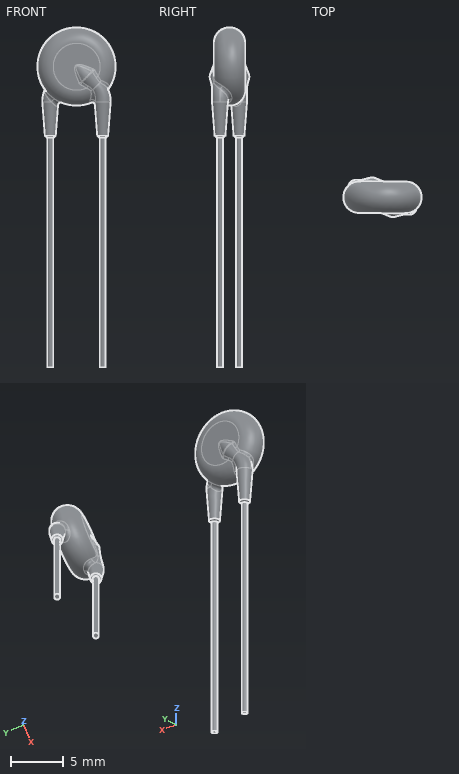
import cadquery as cq
import math

disc_diameter = 7.5
disc_thickness = 3.02

total_height = 32.5
lead_diameter = 0.6
lead_x = 2.5
lead_y = -0.9
lead_bottom_z = disc_diameter / 2 - total_height

sleeve_bottom_z = -6.8
sleeve_end_chamfer = 0.2
bend_start_z = -3.35
sleeve_end_radius = 0.52
bend_section_radius = 0.78

bend_radius = 2.1
bend_angle = 45.0
flare_length = 1.27
flare_radius = 1.0
tip_length = 1.8
tip_radius = 0.52
shoulder_fillet = 0.13

junction_fillet = 0.4
touch_tolerance = 0.0003


def make_disc():
    rim_radius = disc_thickness / 2
    flat_radius = disc_diameter / 2 - rim_radius
    profile = (
        cq.Workplane("XY")
        .moveTo(0, -rim_radius)
        .lineTo(flat_radius, -rim_radius)
        .threePointArc((disc_diameter / 2, 0), (flat_radius, rim_radius))
        .lineTo(0, rim_radius)
        .close()
    )
    return profile.revolve(360, (0, 0, 0), (0, 1, 0))


def make_wire():
    return (
        cq.Workplane("XY", origin=(lead_x, lead_y, lead_bottom_z))
        .circle(lead_diameter / 2)
        .extrude(bend_start_z - lead_bottom_z)
    )


def make_straight_sleeve():
    height = bend_start_z - sleeve_bottom_z
    cone = cq.Solid.makeCone(
        sleeve_end_radius, bend_section_radius, height, cq.Vector(lead_x, lead_y, sleeve_bottom_z)
    )
    return cq.Workplane(cone).faces("<Z").edges().chamfer(sleeve_end_chamfer)


def make_bend():
    return (
        cq.Workplane("XY", origin=(lead_x, lead_y, bend_start_z))
        .circle(bend_section_radius)
        .revolve(bend_angle, (-bend_radius, 0, 0), (-bend_radius, -1, 0))
    )


def make_flared_tip():
    angle = math.radians(bend_angle)
    start = cq.Vector(
        lead_x - bend_radius * (1 - math.cos(angle)),
        lead_y,
        bend_start_z + bend_radius * math.sin(angle),
    )
    direction = cq.Vector(-math.sin(angle), 0, math.cos(angle))
    flare_end = start + direction * flare_length
    flare = cq.Solid.makeCone(bend_section_radius, flare_radius, flare_length, start, direction)
    tip = cq.Solid.makeCone(flare_radius, tip_radius, tip_length, flare_end, direction)
    shoulder = cq.selectors.NearestToPointSelector(flare_end.toTuple())
    return cq.Workplane(flare).union(cq.Workplane(tip)).edges(shoulder).fillet(shoulder_fillet)


def make_lead():
    return make_wire().union(make_straight_sleeve()).union(make_bend()).union(make_flared_tip())


def lies_on_surface(edge, body):
    surface = cq.Compound.makeCompound(body.faces().vals())
    points = [edge.positionAt(fraction) for fraction in (0.1, 0.4, 0.8)]
    vertices = [cq.Vertex.makeVertex(*point.toTuple()) for point in points]
    return all(vertex.distance(surface) < touch_tolerance for vertex in vertices)


def join_with_fillet(disc, leads):
    joined = disc
    for lead in leads:
        joined = joined.union(lead)
    junction = [
        edge
        for edge in joined.edges().vals()
        if lies_on_surface(edge, disc) and any(lies_on_surface(edge, lead) for lead in leads)
    ]
    return cq.Workplane(joined.val().fillet(junction_fillet, junction))


front_lead = make_lead().clean()
back_lead = front_lead.rotate((0, 0, 0), (0, 0, 1), 180)
result = join_with_fillet(make_disc(), [front_lead, back_lead])